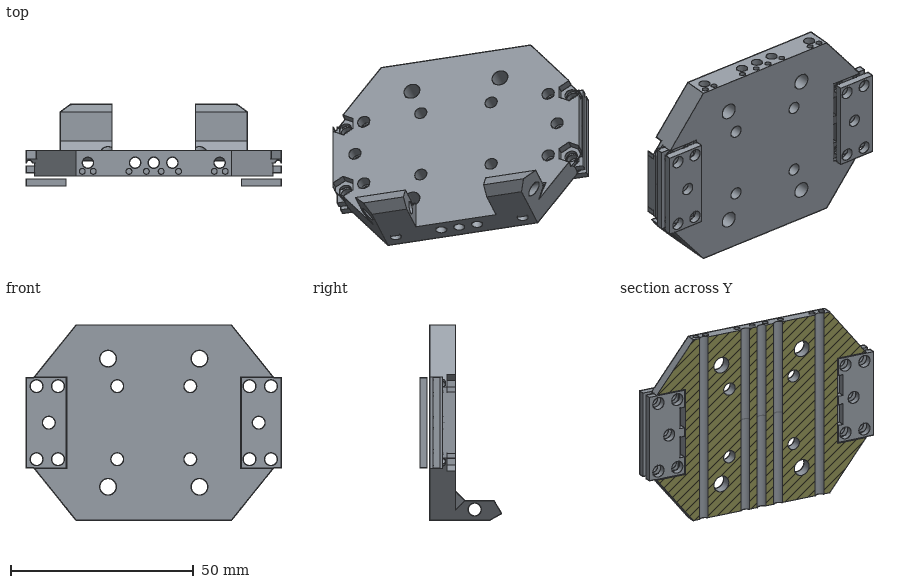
import cadquery as cq
import math

half_width = 34.9
half_height = 26.7
top_half_width = 21.2
side_half_height = 9.7
plate_thickness = 7.05
facet_slope = (half_height - side_half_height) / (half_width - top_half_width)

strip_width = 10.95
strip_height = 24.65
clamp_thickness = 2.0
rail_thickness = 1.95
clamp_gap = 0.7
rail_front = 0.9
rail_notch_depth = 1.4
rail_notch_near_z = 1.25
rail_notch_far_z = 7.3
screw_diameter = 3.4
screw_z = 10.0
outer_screw_x = 32.05
inner_screw_x = 26.2
middle_screw_x = 28.7

pocket_inner_x = 23.65
pocket_half_height = 12.5
pocket_depth = 3.55
groove_diameter = 1.6
groove_x = 34.0
nut_flats = 5.6
nut_depth = 2.3

mount_diameter = 4.5
mount_x = 12.5
mount_z = 17.5
inner_hole_offset = screw_z

bore_diameter = 3.0
bore_y = 3.7
bore_xs = (-18.0, -5.1, 0, 5.1, 18.0)
pin_diameter = 1.6
pin_depth = 3.5
pin_y = 1.3
pin_xs = (2.0, 6.8, 16.55, 19.55)

foot_inner_x = 11.4
foot_height = 5.45
foot_root_y = 9.6
foot_top_end_y = 17.6
foot_tip_y = 19.7
foot_tip_height = 1.9
foot_bottom_end_y = 16.3
foot_hole_diameter = 3.5
foot_hole_y = 12.3
foot_hole_height = 3.0

clamp_front = -clamp_gap - clamp_thickness
bottom_z = -half_height
strip_inner_x = half_width - strip_width
foot_top_z = bottom_z + foot_height
foot_outer_x = top_half_width + foot_height / facet_slope
foot_width = foot_outer_x - foot_inner_x
gusset_rise = foot_root_y - plate_thickness
gusset_top_z = foot_top_z + gusset_rise
root_low_z = foot_top_z - gusset_rise


def slant_x(z):
    """X where the lower slanted side of the octagon reaches the height z."""
    return top_half_width + (z - bottom_z) / facet_slope


def front_plane(y):
    """Workplane facing -Y at the given Y, with local axes X and Z."""
    return cq.Workplane("XZ", origin=(0, y, 0))


def octagon(length):
    """Octagonal prism from Y = 0 back to Y = length."""
    quarter = [(half_width, side_half_height), (top_half_width, half_height)]
    upper = quarter + [(-x, z) for x, z in reversed(quarter)]
    lower = [(x, -z) for x, z in reversed(upper)]
    return front_plane(0).polyline(upper + lower).close().extrude(-length)


def bores():
    points = [(x, bore_y) for x in bore_xs]
    outline = cq.Workplane("XY").pushPoints(points).circle(bore_diameter / 2)
    return outline.extrude(half_height, both=True)


def pin_holes():
    points = [(side * x, pin_y) for x in pin_xs for side in (-1, 1)]
    outline = cq.Workplane("XY", origin=(0, 0, half_height)).pushPoints(points)
    return outline.circle(pin_diameter / 2).extrude(-pin_depth)


def rail_pocket():
    width = half_width - pocket_inner_x
    outline = front_plane(0).center(pocket_inner_x + width / 2, 0).rect(width, 2 * pocket_half_height)
    return outline.extrude(-pocket_depth)


def groove():
    outline = cq.Workplane("XY").center(groove_x, pocket_depth).circle(groove_diameter / 2)
    return outline.extrude(half_height, both=True)


def nut_recesses():
    """Hexagons with a corner up, sunk from the back around the outermost screws."""
    corner_diameter = nut_flats / math.cos(math.pi / 6)
    outline = (
        front_plane(plate_thickness)
        .pushPoints([(outer_screw_x, -screw_z), (outer_screw_x, screw_z)])
        .sketch()
        .regularPolygon(corner_diameter / 2, 6, 0)
        .finalize()
    )
    return outline.extrude(nut_depth)


def screw_holes():
    points = [(middle_screw_x, 0)]
    points += [(x, z) for x in (inner_screw_x, outer_screw_x) for z in (-screw_z, screw_z)]
    outline = front_plane(clamp_front).pushPoints(points)
    return outline.circle(screw_diameter / 2).extrude(clamp_front - plate_thickness)


def rectangle_of_holes(x, z, diameter):
    """Four holes along Y that pass through the plate and the feet behind it."""
    outline = front_plane(0).rect(2 * x, 2 * z, forConstruction=True).vertices()
    return outline.circle(diameter / 2).extrude(-foot_tip_y)


def tetrahedron(a, b, c, d):
    triangles = [(a, b, c), (a, b, d), (a, c, d), (b, c, d)]
    wires = [cq.Wire.makePolygon([cq.Vector(*p) for p in t], close=True) for t in triangles]
    faces = [cq.Face.makeFromWires(wire) for wire in wires]
    return cq.Workplane(cq.Solid.makeSolid(cq.Shell.makeShell(faces)))


def foot_blank():
    """Untrimmed foot on the +X side, with a 45 degree root face that lies inside the plate."""
    profile = [
        (plate_thickness, gusset_top_z),
        (foot_root_y, foot_top_z),
        (foot_top_end_y, foot_top_z),
        (foot_tip_y, bottom_z + foot_tip_height),
        (foot_bottom_end_y, bottom_z),
        (foot_root_y - foot_height, bottom_z),
        (plate_thickness, root_low_z),
    ]
    outline = cq.Workplane("YZ", origin=(foot_inner_x, 0, 0)).polyline(profile).close()
    return outline.extrude(foot_width)


def gusset_undercut():
    """Wedge between the plate and the outer end of the gusset."""
    return tetrahedron(
        (foot_outer_x, foot_root_y, foot_top_z),
        (slant_x(root_low_z), plate_thickness, root_low_z),
        (foot_outer_x, plate_thickness, gusset_top_z),
        (slant_x(gusset_top_z), plate_thickness, gusset_top_z),
    )


def foot_hole():
    outline = cq.Workplane("YZ", origin=(foot_inner_x, 0, 0))
    outline = outline.center(foot_hole_y, bottom_z + foot_hole_height).circle(foot_hole_diameter / 2)
    return outline.extrude(foot_width)


def make_plate():
    """Octagonal plate with two feet; the bores that meet a foot stop at its root face."""
    foot = foot_blank()
    feet = foot.union(foot.mirror("YZ"))
    slab = front_plane(0).rect(2 * half_width, 2 * half_height).extrude(-plate_thickness)
    plate = slab.union(feet).intersect(octagon(foot_tip_y))
    plate = plate.cut(bores().cut(feet)).cut(pin_holes())
    for feature in (
        rail_pocket(),
        groove(),
        nut_recesses(),
        screw_holes(),
        gusset_undercut(),
        foot_hole(),
    ):
        plate = plate.cut(feature).cut(feature.mirror("YZ"))
    plate = plate.cut(rectangle_of_holes(mount_x, mount_z, mount_diameter))
    return plate.cut(rectangle_of_holes(inner_hole_offset, inner_hole_offset, screw_diameter))


def make_strip(front_y, thickness):
    """Drilled strip flush with the +X end of the plate."""
    outline = front_plane(front_y).center(strip_inner_x + strip_width / 2, 0)
    strip = outline.rect(strip_width, strip_height).extrude(-thickness)
    return strip.cut(screw_holes())


def make_rail():
    """Strip with two notches in its inner edge, one on each side of the middle."""
    length = rail_notch_far_z - rail_notch_near_z
    middle_z = (rail_notch_far_z + rail_notch_near_z) / 2
    notches = front_plane(rail_front).center(strip_inner_x + rail_notch_depth / 2, 0)
    notches = notches.pushPoints([(0, -middle_z), (0, middle_z)]).rect(rail_notch_depth, length)
    return make_strip(rail_front, rail_thickness).cut(notches.extrude(-rail_thickness))


plate = make_plate()
rail = make_rail()
clamp = make_strip(clamp_front, clamp_thickness)
rails = [rail.val(), rail.mirror("YZ").val()]
clamps = [clamp.val(), clamp.mirror("YZ").val()]
result = cq.Compound.makeCompound([plate.val(), *rails, *clamps])